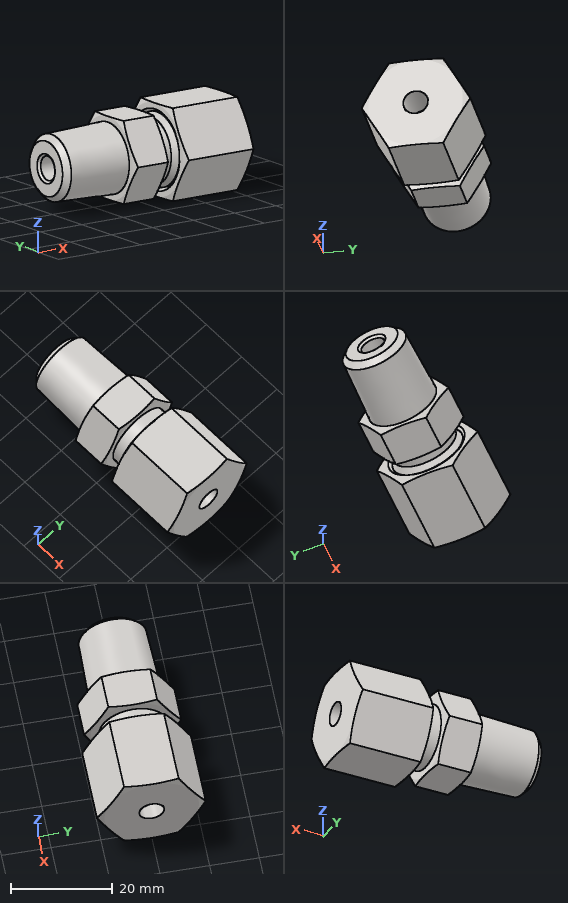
import cadquery as cq
import math

overall_length = 43.0

taper_length = 15.0
taper_base_radius = 7.3
taper_slope = 1 / 32
tip_chamfer = 1.25

body_hex_flats = 17.0
body_hex_length = 8.0

neck_radius = 6.85
exposed_cone_length = 0.95
cone_angle = 30.0
stub_radius = 7.65

nut_flats = 19.0
nut_length = 16.5
nut_seat_depth = nut_length / 2
nut_mouth_chamfer = 0.65

bore_radius = 2.5
bore_mouth_radius = 3.0

hex_chamfer_angle = 15.0

body_hex_end = taper_length + body_hex_length
nut_start = overall_length - nut_length
cone_start = nut_start - exposed_cone_length
cone_end = cone_start + (stub_radius - neck_radius) / math.tan(math.radians(cone_angle))
stub_end = nut_start + nut_seat_depth
taper_tip_radius = taper_base_radius - taper_slope * (taper_length - tip_chamfer)
tip_face_radius = taper_tip_radius - tip_chamfer
bore_mouth_depth = bore_mouth_radius - bore_radius


def revolve_about_x(profile):
    """Solid of revolution about X from a list of (x, radius) points."""
    return cq.Workplane("XY").polyline(profile).close().revolve(360, (0, 0, 0), (1, 0, 0))


def chamfered_hexagon(x_start, length, flats):
    """Hexagonal prism along X, flats facing +Z and -Z, corners turned down at both ends."""
    inner_radius = flats / 2
    corner_radius = inner_radius / math.cos(math.radians(30))
    corner_drop = (corner_radius - inner_radius) * math.tan(math.radians(hex_chamfer_angle))
    x_end = x_start + length
    prism = cq.Workplane("YZ", origin=(x_start, 0, 0)).polygon(6, 2 * corner_radius).extrude(length)
    turned_envelope = revolve_about_x([
        (x_start, 0),
        (x_start, inner_radius),
        (x_start + corner_drop, corner_radius),
        (x_end - corner_drop, corner_radius),
        (x_end, inner_radius),
        (x_end, 0),
    ])
    return prism.intersect(turned_envelope)


def make_body():
    """Fitting body: tapered end, hexagon, neck and stub, bored through."""
    turned_shape = revolve_about_x([
        (0, 0),
        (0, tip_face_radius),
        (tip_chamfer, taper_tip_radius),
        (taper_length, taper_base_radius),
        (body_hex_end, neck_radius),
        (cone_start, neck_radius),
        (cone_end, stub_radius),
        (stub_end, stub_radius),
        (stub_end, 0),
    ])
    hexagon = chamfered_hexagon(taper_length, body_hex_length, body_hex_flats)
    bore = revolve_about_x([
        (0, 0),
        (0, bore_mouth_radius),
        (bore_mouth_depth, bore_radius),
        (stub_end, bore_radius),
        (stub_end, 0),
    ])
    return turned_shape.union(hexagon).cut(bore)


def make_nut():
    """Union nut: hexagon with a chamfered seat for the body's stub and the bore carried on through."""
    hexagon = chamfered_hexagon(nut_start, nut_length, nut_flats)
    cavity = revolve_about_x([
        (nut_start, 0),
        (nut_start, stub_radius + nut_mouth_chamfer),
        (nut_start + nut_mouth_chamfer, stub_radius),
        (stub_end, stub_radius),
        (stub_end, bore_radius),
        (overall_length, bore_radius),
        (overall_length, 0),
    ])
    return hexagon.cut(cavity)


body = make_body()
nut = make_nut()

result = cq.Compound.makeCompound([body.val(), nut.val()])